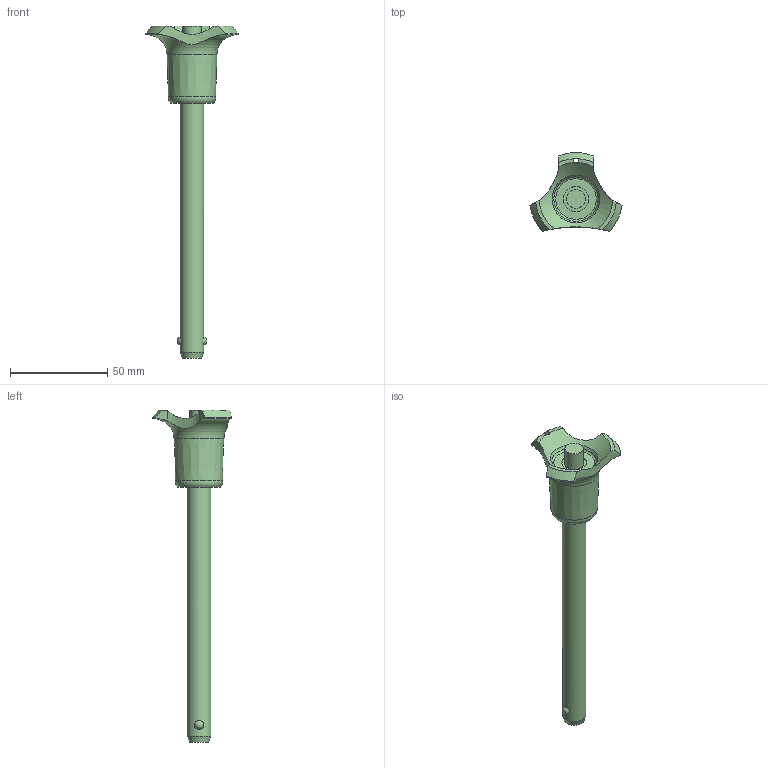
import cadquery as cq
import math


shank_radius = 6.0
shank_length = 130.6
tip_length = 3.0
tip_radius = 5.1
ball_radius = 2.4
ball_offset = 5.15
ball_height = 8.7

handle_height = 39.7
base_radius = 11.0
base_corner_height = 3.3
base_mid_radius = 11.75
base_mid_height = 1.1
body_bottom_radius = 12.1
body_top_radius = 12.8
body_top_z = handle_height - 14.6

rim_radius = 23.87
rim_top_z = handle_height - 3.7
rim_bottom_z = handle_height - 4.5
land_outer_radius = 20.7
land_inner_radius = 18.8
flare_mid_radius = 15.6
flare_mid_z = handle_height - 7.85

bowl_floor_z = handle_height - 8.7
bowl_floor_radius = 10.4
bowl_corner_radius = 1.0
bowl_wall_radius = 12.2
bowl_wall_height = 2.5
bowl_mid_radius = 14.5
bowl_mid_z = handle_height - 4.1

button_radius = 4.75
groove_radius = 6.4
groove_depth = 1.0

arm_pitch_angle = 120
arm_half_width = 8.87
arm_straight_start = 16.2
side_scallop_depth = 14.3
side_scallop_angles = (30, 150)
front_scallop_depth = 14.3
handle_depth = 40.5
front_scallop_edge_y = handle_depth - rim_radius
cutter_reach = 2 * rim_radius

lanyard_hole_radius = 1.3
lanyard_hole_y = 19.7


def revolve_profile(profile):
    """Turn a closed XZ profile about the Z axis."""
    return profile.close().revolve(360, (0, 0, 0), (0, 1, 0))


def make_shank():
    shank = revolve_profile(
        cq.Workplane("XZ")
        .moveTo(0, bowl_floor_z - groove_depth)
        .lineTo(shank_radius, bowl_floor_z - groove_depth)
        .lineTo(shank_radius, tip_length - shank_length)
        .lineTo(tip_radius, -shank_length)
        .lineTo(0, -shank_length)
    )
    for side in (-1, 1):
        ball_center = (side * ball_offset, 0, ball_height - shank_length)
        shank = shank.union(cq.Workplane("XY").sphere(ball_radius).translate(ball_center))
    return shank


def make_turned_handle():
    """Body of revolution before the arms are cut out of the rim."""
    return revolve_profile(
        cq.Workplane("XZ")
        .moveTo(0, 0)
        .lineTo(base_radius, 0)
        .threePointArc(
            (base_mid_radius, base_mid_height),
            (body_bottom_radius, base_corner_height),
        )
        .lineTo(body_top_radius, body_top_z)
        .threePointArc((flare_mid_radius, flare_mid_z), (rim_radius, rim_bottom_z))
        .lineTo(rim_radius, rim_top_z)
        .lineTo(land_outer_radius, handle_height)
        .lineTo(land_inner_radius, handle_height)
        .threePointArc(
            (bowl_mid_radius, bowl_mid_z),
            (bowl_wall_radius, bowl_floor_z + bowl_wall_height),
        )
        .lineTo(bowl_floor_radius + bowl_corner_radius, bowl_floor_z + bowl_corner_radius)
        .radiusArc((bowl_floor_radius, bowl_floor_z), bowl_corner_radius)
        .lineTo(groove_radius, bowl_floor_z)
        .lineTo(groove_radius, bowl_floor_z - groove_depth)
        .lineTo(button_radius, bowl_floor_z - groove_depth)
        .lineTo(button_radius, handle_height)
        .lineTo(0, handle_height)
    )


def arm_side_point(distance):
    """Point on an arm's side, that far out along the arm, with the scallop facing +X."""
    half_pitch = math.radians(arm_pitch_angle / 2)
    x = distance * math.cos(half_pitch) + arm_half_width * math.sin(half_pitch)
    y = distance * math.sin(half_pitch) - arm_half_width * math.cos(half_pitch)
    return x, y


def make_side_scallop(angle):
    """Cutter with a smooth curved bottom and straight flanks along the two neighbouring arms."""
    near_x, near_y = arm_side_point(arm_straight_start)
    far_x, far_y = arm_side_point(cutter_reach)
    return (
        cq.Workplane("XY")
        .moveTo(far_x, -far_y)
        .lineTo(near_x, -near_y)
        .spline(
            [(side_scallop_depth, 0), (near_x, near_y)],
            tangents=[(near_x - far_x, far_y - near_y), (far_x - near_x, far_y - near_y)],
            includeCurrent=True,
        )
        .lineTo(far_x, far_y)
        .close()
        .extrude(handle_height)
        .rotate((0, 0, 0), (0, 0, 1), angle)
    )


def make_front_scallop():
    """Cylindrical cutter through the rim corners and the deepest point of the -Y scallop."""
    edge_x = math.sqrt(rim_radius**2 - front_scallop_edge_y**2)
    rise = front_scallop_edge_y - front_scallop_depth
    radius = (edge_x**2 + rise**2) / (2 * rise)
    return (
        cq.Workplane("XY")
        .center(0, -front_scallop_depth - radius)
        .circle(radius)
        .extrude(handle_height)
    )


def make_handle():
    handle = make_turned_handle()
    for angle in side_scallop_angles:
        handle = handle.cut(make_side_scallop(angle))
    handle = handle.cut(make_front_scallop())
    lanyard_hole = (
        cq.Workplane("XY")
        .center(0, lanyard_hole_y)
        .circle(lanyard_hole_radius)
        .extrude(handle_height)
    )
    return handle.cut(lanyard_hole)


result = make_handle().union(make_shank())